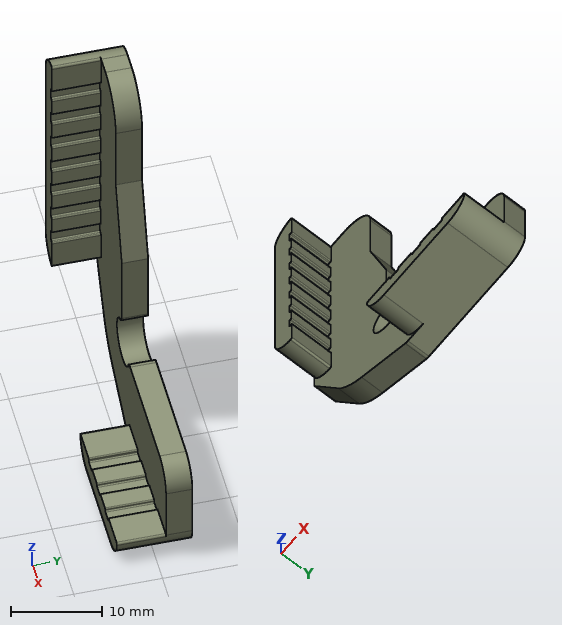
import cadquery as cq
import math

height = 48.0
width = 33.0
depth = 8.5

plate_thickness = 3.0
arm_width = 12.6
elbow_start = 16.1
elbow_corner = 5.6
elbow_radius = 10.0
elbow_start_radius = 0.95
end_radius = 3.0

tip_width = 9.8
taper_bottom = 25.25
taper_top = 34.95
tip_radius = 4.8

relief_center = 13.05
relief_radius = 2.75
relief_edge_radius = 0.85

pad_start = 16.0
pad_thickness = end_radius
pad_edge_radius = 0.25

groove_pitch = 3.8
groove_width = 1.5
groove_depth = 0.5
land_drop = 0.1
groove_edge_radius = 0.15
upright_grooves = 7
foot_grooves = 3


def round_corner(body, x, z, radius):
    """Fillet the Y-parallel edge nearest to the given x and z."""
    nearest = cq.selectors.NearestToPointSelector((x, body.val().Center().y, z))
    return body.edges("|Y").edges(nearest).fillet(radius)


def make_plate():
    outline = [
        (0, elbow_start),
        (0, height),
        (tip_width, height),
        (tip_width, taper_top),
        (arm_width, taper_bottom),
        (arm_width, arm_width),
        (width, arm_width),
        (width, 0),
        (elbow_start, 0),
        (elbow_corner, elbow_corner),
    ]
    plate = cq.Workplane("XZ").polyline(outline).close().extrude(plate_thickness)

    corner_radii = [
        (0, height, end_radius),
        (tip_width, height, tip_radius),
        (width, arm_width, end_radius),
        (width, 0, end_radius),
        (0, elbow_start, elbow_start_radius),
        (elbow_start, 0, elbow_start_radius),
        (elbow_corner, elbow_corner, elbow_radius),
    ]
    for x, z, radius in corner_radii:
        plate = round_corner(plate, x, z, radius)

    relief = (
        cq.Workplane("XZ")
        .center(relief_center, relief_center)
        .circle(relief_radius)
        .extrude(plate_thickness)
    )
    plate = plate.cut(relief)

    relief_exit = relief_center + math.sqrt(relief_radius**2 - (relief_center - arm_width) ** 2)
    plate = round_corner(plate, arm_width, relief_exit, relief_edge_radius)
    return round_corner(plate, relief_exit, arm_width, relief_edge_radius)


def make_pad(pad_end, groove_count):
    """Grooved pad lying along X, from pad_start to pad_end, with its outer side at z = 0."""
    length = pad_end - pad_start
    middle = (pad_start + pad_end) / 2
    base = cq.Workplane("XZ")

    slot = base.center(middle, pad_thickness).slot2D(length, 2 * pad_thickness).extrude(depth)
    lower_half = base.center(middle, pad_thickness / 2).rect(length, pad_thickness).extrude(depth)
    pad = slot.intersect(lower_half)
    for x in (pad_start, pad_end):
        pad = round_corner(pad, x, pad_thickness, pad_edge_radius)

    face = base.center(middle, pad_thickness)
    groove_span = (groove_count - 1) * groove_pitch
    pad = pad.cut(face.rect(groove_span, 2 * land_drop).extrude(depth))
    grooves = (
        face.rarray(groove_pitch, 0.5, groove_count, 1)
        .rect(groove_width, 2 * groove_depth)
        .extrude(depth)
    )
    pad = pad.cut(grooves)

    half_grooved = (groove_span + groove_pitch) / 2
    grooved_zone = cq.selectors.BoxSelector(
        (middle - half_grooved, -depth, pad_thickness - 2 * groove_depth),
        (middle + half_grooved, 0, pad_thickness + groove_depth),
    )
    return pad.edges("|Y").edges(grooved_zone).fillet(groove_edge_radius)


foot_pad = make_pad(width, foot_grooves)
upright_pad = make_pad(height, upright_grooves).mirror(cq.Vector(1, 0, -1))

result = foot_pad.union(make_plate()).union(upright_pad).solids()